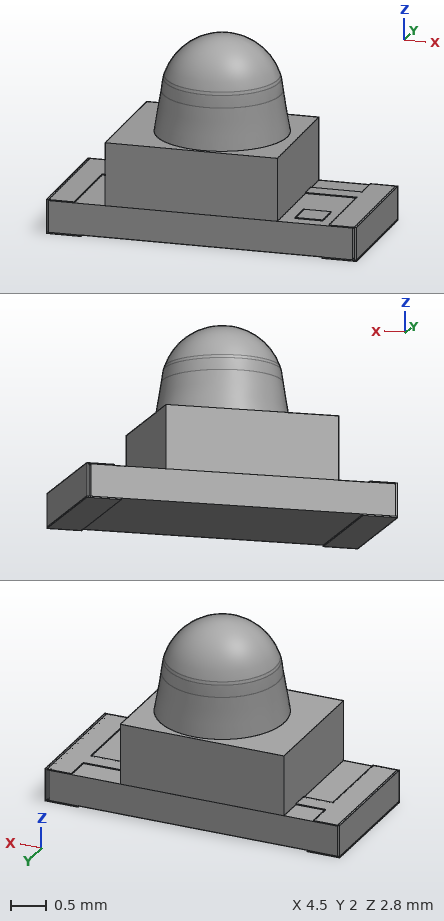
import cadquery as cq
import math


length = 4.5
width = 2.0
height = 2.8

end_plating = 0.03
pad_plating = 0.02
top_plating = 0.015
pad_length = 0.5
contact_length = 0.4
trace_width = 0.25
trace_inset = 0.4

board_gap = 0.03
board_bottom = pad_plating
board_top = 0.48

block_length = 2.5
block_left_inset = 0.85
block_top = 1.4

lens_base_radius = 0.95
lens_neck_radius = 0.85
lens_shoulder_radius = 0.825
dome_edge_radius = 0.81
neck_height = 2.0
shoulder_height = 2.175
dome_edge_height = 2.22
shoulder_bulge = 0.005

mark_size = 0.4
mark_right_inset = 0.55
mark_front_inset = 0.2

left_end = -length / 2
right_end = length / 2
front = -width / 2
back = width / 2
block_left = left_end + block_left_inset
block_right = block_left + block_length
contact_top = board_top + top_plating


def box_between(x_range, y_range, z_range):
    """Return a box spanning the given (low, high) ranges."""
    sizes = [high - low for low, high in (x_range, y_range, z_range)]
    corner = (x_range[0], y_range[0], z_range[0])
    return cq.Workplane("XY").box(*sizes, centered=False).translate(corner)


def make_board():
    x_range = (left_end + end_plating, right_end - end_plating - board_gap)
    return box_between(x_range, (front, back), (board_bottom, board_top))


def make_block():
    return box_between((block_left, block_right), (front, back), (board_top, block_top))


def make_lens():
    """Revolve a tapered skirt, a rounded shoulder and a spherical dome about Z."""
    dome_rise = height - dome_edge_height
    dome_radius = (dome_edge_radius**2 + dome_rise**2) / (2 * dome_rise)
    dome_center = height - dome_radius
    middle_angle = math.asin(dome_edge_radius / dome_radius) / 2
    dome_middle = (
        dome_radius * math.sin(middle_angle),
        dome_center + dome_radius * math.cos(middle_angle),
    )
    shoulder_middle = (
        (lens_neck_radius + lens_shoulder_radius) / 2 + shoulder_bulge,
        (neck_height + shoulder_height) / 2,
    )
    return (
        cq.Workplane("XZ")
        .moveTo(0, block_top)
        .lineTo(lens_base_radius, block_top)
        .lineTo(lens_neck_radius, neck_height)
        .threePointArc(shoulder_middle, (lens_shoulder_radius, shoulder_height))
        .lineTo(dome_edge_radius, dome_edge_height)
        .threePointArc(dome_middle, (0, height))
        .close()
        .revolve(360, (0, 0, 0), (0, 1, 0))
    )


def span_inward(end, distance):
    """Return the X range reaching the given distance inward from one end of the part."""
    inner = end - math.copysign(distance, end)
    return min(end, inner), max(end, inner)


def make_end_plate(end):
    """Plate over one end, from the solder pad up to the top of the contact."""
    return box_between(span_inward(end, end_plating), (front, back), (board_bottom, contact_top))


def make_solder_pad(end):
    return box_between(span_inward(end, pad_length), (front, back), (0, board_bottom))


def make_top_contact(end, block_side):
    """T-shaped contact: a strip inside the end plate and a trace running in to the block."""
    z_range = (board_top, contact_top)
    strip = box_between(span_inward(end, contact_length), (front, back), z_range)
    trace_back = back - trace_inset
    trace_range = (trace_back - trace_width, trace_back)
    trace = box_between(span_inward(end, abs(end - block_side)), trace_range, z_range)
    return strip.union(trace).cut(make_end_plate(end))


def make_polarity_mark():
    mark_right = right_end - mark_right_inset
    mark_front = front + mark_front_inset
    return box_between(
        (mark_right - mark_size, mark_right),
        (mark_front, mark_front + mark_size),
        (board_top, contact_top),
    )


board = make_board()
block = make_block()
lens = make_lens()
polarity_mark = make_polarity_mark()

end_plates = []
solder_pads = []
top_contacts = []
for end, block_side in ((left_end, block_left), (right_end, block_right)):
    end_plates.append(make_end_plate(end).val())
    solder_pads.append(make_solder_pad(end).val())
    top_contacts.append(make_top_contact(end, block_side).solids().val())

result = cq.Compound.makeCompound([
    board.val(),
    block.val(),
    lens.val(),
    polarity_mark.val(),
    *end_plates,
    *solder_pads,
    *top_contacts,
])